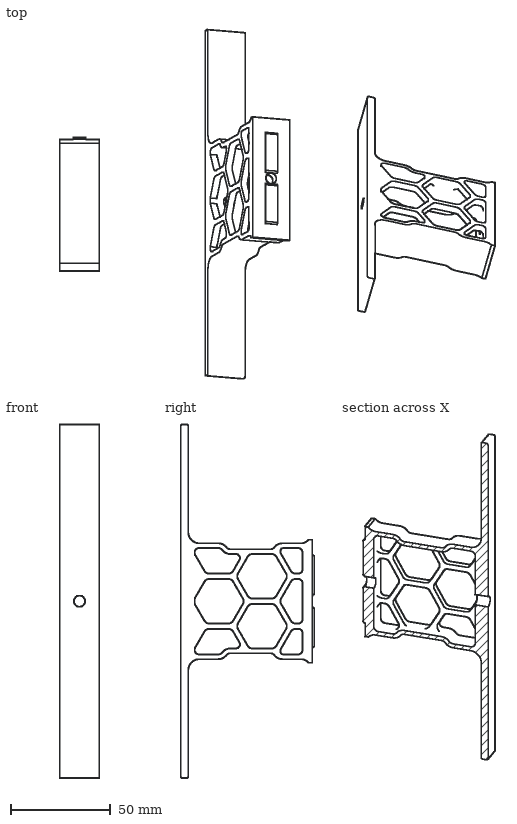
import cadquery as cq
import math

width = 20.0
plate_height = 177.0
plate_thickness = 3.9
plate_edge_round = 1.0
hole_diameter = 5.5

frame_depth = 65.8
front_inner_y = 7.0
back_inner_y = 60.9
wall = 2.5
arm_outer_z = 29.0
arm_inner_z = arm_outer_z - wall
waist_drop = 3.0
waist_back_y = 44.8
waist_front_y = 25.0
tight_bend = 2.7
wide_bend = tight_bend + wall
plate_fillet = 5.5
cavity_fillet = 2.1

lip_rise = 1.8
lip_z = arm_outer_z + lip_rise
lip_front_y = 63.9
lip_radius = 4.8

web_thickness = 3.5
cell_pitch = 25.0
web_strut = 2.8
cell_rounding = 2.7
web_center_y = 40.7
foot_fillet = 2.0
bend_foot_fillet = 1.5

pad_width = 6.4
pad_length = 20.5
pad_height = 1.0
pad_chamfer = 0.9
pad_center_z = 13.1

bend_sum = tight_bend + wide_bend
step_run = math.sqrt(2 * bend_sum * waist_drop - waist_drop**2)
step_angle = math.asin(step_run / bend_sum)


def arc_offset(radius, angle):
    """Y and Z travelled along an arc that starts out level and bends upwards."""
    return radius * math.sin(angle), radius * (1 - math.cos(angle))


def bend_points(y_waist, z_waist, direction, waist_radius):
    """Points of a waist step, from the waist out to the arm, rising in Z."""
    arm_radius = bend_sum - waist_radius
    y_arm = y_waist + direction * step_run
    z_arm = z_waist + waist_drop
    waist_dy, waist_dz = arc_offset(waist_radius, step_angle / 2)
    joint_dy, joint_dz = arc_offset(waist_radius, step_angle)
    arm_dy, arm_dz = arc_offset(arm_radius, step_angle / 2)
    return [
        (y_waist, z_waist),
        (y_waist + direction * waist_dy, z_waist + waist_dz),
        (y_waist + direction * joint_dy, z_waist + joint_dz),
        (y_arm - direction * arm_dy, z_arm - arm_dz),
        (y_arm, z_arm),
    ]


def half_section(y_front, y_back, arm_z, waist_radius):
    """Upper half of a waisted outline between two Y positions."""
    waist_z = arm_z - waist_drop
    front = bend_points(waist_front_y, waist_z, -1, waist_radius)
    back = bend_points(waist_back_y, waist_z, 1, waist_radius)
    return (
        cq.Workplane("YZ")
        .moveTo(y_front, 0)
        .lineTo(y_front, arm_z)
        .lineTo(*front[4])
        .threePointArc(front[3], front[2])
        .threePointArc(front[1], front[0])
        .lineTo(*back[0])
        .threePointArc(back[1], back[2])
        .threePointArc(back[3], back[4])
        .lineTo(y_back, arm_z)
        .lineTo(y_back, 0)
        .close()
    )


def mirrored_prism(sketch, thickness):
    """Extrude an upper half outline from X = 0 and add its mirror image below Z = 0."""
    upper = sketch.extrude(thickness)
    return upper.union(upper.mirror("XY")).clean()


def edges_along_x(y, z):
    """Selector for the X edges at (y, +z) and (y, -z)."""
    reach = 0.09
    upper, lower = (
        cq.selectors.BoxSelector((0, y - reach, level - reach), (width, y + reach, level + reach))
        for level in (z, -z)
    )
    return (upper + lower) & cq.selectors.ParallelDirSelector(cq.Vector(1, 0, 0))


def make_body():
    plate = (
        cq.Workplane("XY")
        .box(width, plate_thickness, plate_height, centered=(False, False, True))
        .faces("<Z or >Z")
        .edges("|X")
        .fillet(plate_edge_round)
    )
    frame = mirrored_prism(half_section(plate_thickness / 2, frame_depth, arm_outer_z, tight_bend), width)
    lip_angle = math.acos(1 - lip_rise / lip_radius)
    lip_start_y = lip_front_y - lip_radius * math.sin(lip_angle)
    mid_dy, mid_dz = arc_offset(lip_radius, lip_angle / 2)
    lip = (
        cq.Workplane("YZ")
        .moveTo(frame_depth, 0)
        .lineTo(lip_start_y, 0)
        .lineTo(lip_start_y, arm_outer_z)
        .threePointArc((lip_start_y + mid_dy, arm_outer_z + mid_dz), (lip_front_y, lip_z))
        .lineTo(frame_depth, lip_z)
        .close()
    )
    lip_block = mirrored_prism(lip, width)
    body = plate.union(frame).union(lip_block).clean()
    return body.edges(edges_along_x(plate_thickness, arm_outer_z)).fillet(plate_fillet)


def make_cavity(thickness, corner_ys=(front_inner_y, back_inner_y)):
    """Space inside the frame, from X = 0, with rounded corners at the given Y positions."""
    sketch = half_section(front_inner_y, back_inner_y, arm_inner_z, wide_bend)
    cavity = mirrored_prism(sketch, thickness)
    for y in corner_ys:
        cavity = cavity.edges(edges_along_x(y, arm_inner_z)).fillet(cavity_fillet)
    return cavity


def make_open_space():
    """Cavity beside the web; its rounded floor edge leaves a fillet at the foot of each strut."""
    depth = width - web_thickness
    space = make_cavity(depth, corner_ys=(back_inner_y,))
    front_edge = cq.selectors.NearestToPointSelector((depth, front_inner_y, 0))
    space = space.faces(">X").edges(cq.selectors.InverseSelector(front_edge)).fillet(foot_fillet)
    return space.intersect(make_cavity(depth))


def make_cells():
    """Honeycomb openings, kept inside the cavity and flared where a strut side meets the frame."""
    cell_apothem = (cell_pitch - web_strut) / 2
    across_corners = 2 * cell_apothem / math.cos(math.pi / 6)
    column_step = cell_pitch * math.cos(math.pi / 6)
    half_pitch = cell_pitch / 2
    centers = [(web_center_y, half_pitch), (web_center_y, -half_pitch)]
    for y in (web_center_y - column_step, web_center_y + column_step):
        centers += [(y, -cell_pitch), (y, 0), (y, cell_pitch)]
    cells = (
        cq.Workplane("YZ")
        .pushPoints(centers)
        .polygon(6, across_corners)
        .extrude(width)
        .edges("|X")
        .fillet(cell_rounding)
        .intersect(make_cavity(width))
    )
    strut_low = half_pitch - web_strut / 2
    strut_high = half_pitch + web_strut / 2
    waist_inner_z = arm_inner_z - waist_drop
    corner_offset = column_step - across_corners / 2
    front_side_y = web_center_y - corner_offset + (waist_inner_z - cell_pitch) / math.tan(math.pi / 3)
    back_side_y = web_center_y + corner_offset + (arm_inner_z - cell_pitch) / math.tan(math.pi / 3)
    flares = [
        (back_inner_y, strut_low, foot_fillet),
        (back_inner_y, strut_high, foot_fillet),
        (front_side_y, waist_inner_z, foot_fillet),
        (back_side_y, arm_inner_z, bend_foot_fillet),
    ]
    for y, z, radius in flares:
        cells = cells.edges(edges_along_x(y, z)).fillet(radius)
    return cells


def make_pads():
    return (
        cq.Workplane("XZ", origin=(width / 2, frame_depth, 0))
        .pushPoints([(0, pad_center_z), (0, -pad_center_z)])
        .rect(pad_width, pad_length)
        .extrude(-pad_height)
        .faces(">Y")
        .edges("|X")
        .chamfer(pad_chamfer)
    )


hole = (
    cq.Workplane("XZ", origin=(width / 2, 0, 0))
    .circle(hole_diameter / 2)
    .extrude(-frame_depth)
)
bracket = make_body().cut(make_open_space()).cut(make_cells())
result = bracket.cut(hole).union(make_pads())